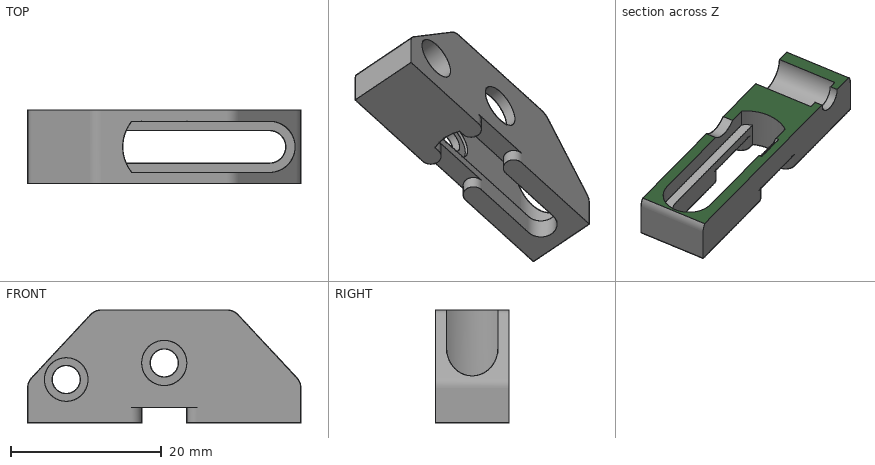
import cadquery as cq
import math

length = 36.33
width = 9.8
height = 15.0
mid_x = length / 2

shoulder_height = 5.4
slope_angle = 47.0
corner_radius = 2.0
slope_run = (height - shoulder_height) / math.tan(math.radians(slope_angle))

wide_slot_width = 6.8
narrow_slot_width = 4.3
ledge_height = 3.4
slot_end_x = 32.15
slot_start_radius = 5.5

notch_width = 8.7
notch_height = 2.0
lug_radius = (width - narrow_slot_width) / 4

bore_diameter = 3.7
bore_seat = 0.4
pivot_diameter = 6.0
pivot_z = 7.95
pin_diameter = 5.8
pin_x = 5.14
pin_z = 5.75


def make_body():
    """Block with sloped shoulders, extruded across the width."""
    profile = [
        (0, 0),
        (length, 0),
        (length, shoulder_height),
        (length - slope_run, height),
        (slope_run, height),
        (0, shoulder_height),
    ]
    body = cq.Workplane("XZ").polyline(profile).close().extrude(width / 2, both=True)
    return body.edges("(|Y) exc (<Z)").fillet(corner_radius)


def make_slot(slot_width, floor_z):
    """Slot open at the top: a convex arc at the start and a half round at the end."""
    half = slot_width / 2
    arc_offset = math.sqrt(slot_start_radius**2 - half**2)
    return (
        cq.Workplane("XY", origin=(0, 0, floor_z))
        .moveTo(mid_x - arc_offset, -half)
        .lineTo(slot_end_x, -half)
        .threePointArc((slot_end_x + half, 0), (slot_end_x, half))
        .lineTo(mid_x - arc_offset, half)
        .threePointArc((mid_x - slot_start_radius, 0), (mid_x - arc_offset, -half))
        .close()
        .extrude(height - floor_z)
    )


def make_notch():
    """Rectangular notch less the four round wall ends that stand into it."""
    notch = cq.Workplane("XY").center(mid_x, 0).rect(notch_width, width).extrude(notch_height)
    lugs = (
        cq.Workplane("XY")
        .center(mid_x, 0)
        .rect(notch_width, width - 2 * lug_radius, forConstruction=True)
        .vertices()
        .circle(lug_radius)
        .extrude(notch_height)
    )
    return notch.cut(lugs)


def make_stepped_hole(x, z, diameter):
    """Wide hole from the -Y face to its seat in the +Y wall, then a bore through."""
    seat_depth = width / 2 + wide_slot_width / 2 + bore_seat
    front = cq.Workplane("XZ", origin=(x, -width / 2, z))
    wide_hole = front.circle(diameter / 2).extrude(-seat_depth)
    bore = front.circle(bore_diameter / 2).extrude(-width)
    return wide_hole.union(bore)


result = (
    make_body()
    .cut(make_slot(wide_slot_width, ledge_height))
    .cut(make_slot(narrow_slot_width, 0))
    .cut(make_notch())
    .cut(make_stepped_hole(mid_x, pivot_z, pivot_diameter))
    .cut(make_stepped_hole(pin_x, pin_z, pin_diameter))
)